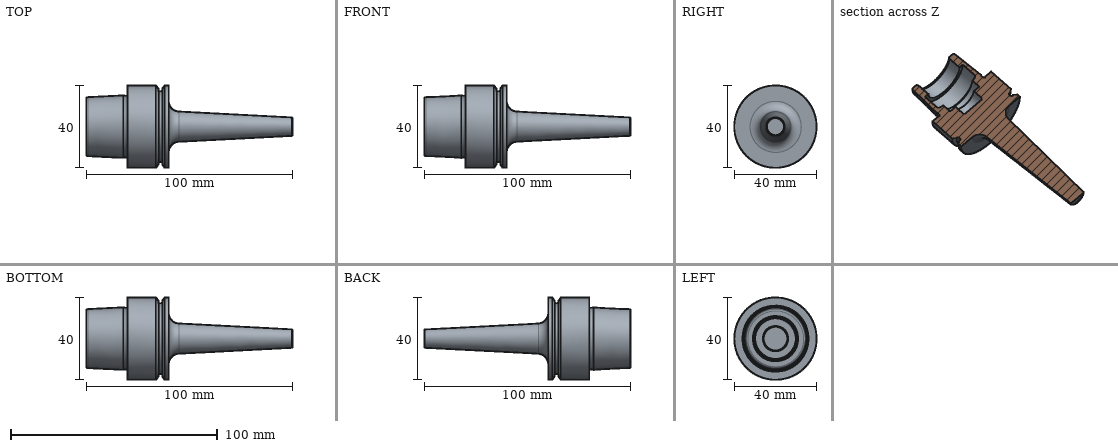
import math

import cadquery as cq


total_length = 100.0
flange_start = 20.0
flange_end = 40.0
flange_radius = 20.0

taper_end = 18.0
taper_end_radius = 15.2
taper_angle = math.atan(1 / 20)
front_edge_radius = 0.8

relief_start = 18.7
relief_radius = 15.0
relief_fillet = 0.45
recess_depth = 0.25
recess_radius = 16.05

groove_center = 35.9
groove_mouth_width = 4.25
groove_floor_width = 1.75
groove_floor_radius = 17.25
groove_floor_fillet = 0.3
groove_wall_radius = 18.3

nose_angle = math.radians(3.0)
nose_tip_radius = 4.5
nose_root_fillet = 5.0
tip_chamfer = 0.4

bore_radius = 10.5
bore_chamfer_width = 0.5
bore_chamfer_depth = 0.85
bore_length = 7.8
clamp_groove_radius = 12.75
clamp_groove_length = 8.0
clamp_groove_fillet = 1.0
clamp_groove_wall_angle = math.radians(75.0)

step_radius = 9.8
step_end = 22.0
pocket_radius = 6.15
pocket_floor_radius = 5.7
pocket_end = 28.0


def point_on_circle(center, radius, angle):
    """Point at an angle measured from +X toward increasing radius."""
    return (
        center[0] + radius * math.cos(angle),
        center[1] + radius * math.sin(angle),
    )


def arc_points(center, radius, start_angle, end_angle):
    """Start, middle and end points of a circular arc."""
    angles = (start_angle, (start_angle + end_angle) / 2, end_angle)
    return [point_on_circle(center, radius, angle) for angle in angles]


def front_edge_arc():
    """Rounded front edge, tangent to the front face and to the taper."""
    center_radius = (
        taper_end_radius
        - (taper_end - front_edge_radius) * math.tan(taper_angle)
        - front_edge_radius / math.cos(taper_angle)
    )
    center = (front_edge_radius, center_radius)
    return arc_points(center, front_edge_radius, math.pi, math.pi / 2 + taper_angle)


def relief_arc():
    """Fillet from the relief to the floor of the flange-face recess."""
    center = (flange_start + recess_depth - relief_fillet, relief_radius + relief_fillet)
    return arc_points(center, relief_fillet, -math.pi / 2, 0)


def nose_root_arc():
    """Fillet tangent to the flange face and to the nose cone."""
    center_x = flange_end + nose_root_fillet
    center_radius = (
        nose_tip_radius
        + (total_length - center_x) * math.tan(nose_angle)
        + nose_root_fillet / math.cos(nose_angle)
    )
    end_angle = 3 * math.pi / 2 - nose_angle
    return arc_points((center_x, center_radius), nose_root_fillet, math.pi, end_angle)


def groove_corner_arcs():
    """Fillets at the left and right corners of the gripper groove floor."""
    center_offset = groove_floor_width / 2 - groove_floor_fillet
    center_radius = groove_floor_radius + groove_floor_fillet
    left_center = (groove_center - center_offset, center_radius)
    right_center = (groove_center + center_offset, center_radius)
    left = arc_points(left_center, groove_floor_fillet, math.pi, 3 * math.pi / 2)
    right = arc_points(right_center, groove_floor_fillet, -math.pi / 2, 0)
    return left, right


def revolve_about_axis(profile):
    return profile.close().revolve(360, (0, 0, 0), (1, 0, 0))


def make_body():
    """Solid of revolution bounded by the outside of the holder."""
    edge_start, edge_mid, edge_end = front_edge_arc()
    relief_arc_start, relief_arc_mid, relief_arc_end = relief_arc()
    root_start, root_mid, root_end = nose_root_arc()
    left_corner, right_corner = groove_corner_arcs()

    half_mouth = groove_mouth_width / 2
    half_floor = groove_floor_width / 2
    tip_chamfer_radius = nose_tip_radius + tip_chamfer * math.tan(nose_angle)

    profile = (
        cq.Workplane("XY")
        .moveTo(0, 0)
        .lineTo(*edge_start)
        .threePointArc(edge_mid, edge_end)
        .lineTo(taper_end, taper_end_radius)
        .lineTo(relief_start, relief_radius)
        .lineTo(*relief_arc_start)
        .threePointArc(relief_arc_mid, relief_arc_end)
        .lineTo(flange_start, recess_radius)
        .lineTo(flange_start, flange_radius)
        .lineTo(groove_center - half_mouth, flange_radius)
        .lineTo(groove_center - half_floor, groove_wall_radius)
        .lineTo(*left_corner[0])
        .threePointArc(*left_corner[1:])
        .lineTo(*right_corner[0])
        .threePointArc(*right_corner[1:])
        .lineTo(groove_center + half_floor, groove_wall_radius)
        .lineTo(groove_center + half_mouth, flange_radius)
        .lineTo(flange_end, flange_radius)
        .lineTo(*root_start)
        .threePointArc(root_mid, root_end)
        .lineTo(total_length - tip_chamfer, tip_chamfer_radius)
        .lineTo(total_length, nose_tip_radius - tip_chamfer)
        .lineTo(total_length, 0)
    )
    return revolve_about_axis(profile)


def make_bore():
    """Blind stepped cavity, opening at X = 0."""
    fillet_center = (
        bore_length + clamp_groove_length,
        clamp_groove_radius - clamp_groove_fillet,
    )
    fillet_end_angle = math.pi / 2 - clamp_groove_wall_angle
    fillet_start, fillet_mid, fillet_end = arc_points(
        fillet_center, clamp_groove_fillet, math.pi / 2, fillet_end_angle
    )
    step_start = fillet_end[0] + (fillet_end[1] - step_radius) / math.tan(clamp_groove_wall_angle)
    pocket_cone_depth = pocket_radius - pocket_floor_radius

    profile = (
        cq.Workplane("XY")
        .moveTo(0, 0)
        .lineTo(0, bore_radius + bore_chamfer_width)
        .lineTo(bore_chamfer_depth, bore_radius)
        .lineTo(bore_length, bore_radius)
        .lineTo(bore_length, clamp_groove_radius)
        .lineTo(*fillet_start)
        .threePointArc(fillet_mid, fillet_end)
        .lineTo(step_start, step_radius)
        .lineTo(step_end, step_radius)
        .lineTo(step_end, pocket_radius)
        .lineTo(pocket_end - pocket_cone_depth, pocket_radius)
        .lineTo(pocket_end, pocket_floor_radius)
        .lineTo(pocket_end, 0)
    )
    return revolve_about_axis(profile)


result = make_body().cut(make_bore())